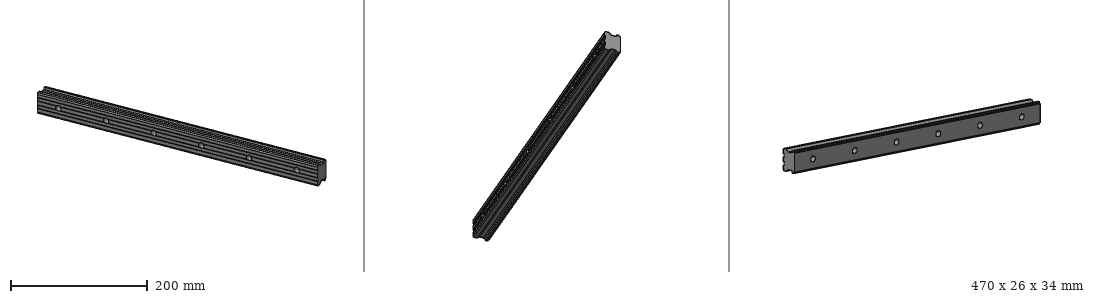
import cadquery as cq

length = 470.0
depth = 26.0
height = 34.0
half_height = height / 2
base_y = depth / 2
face_y = -depth / 2

lip_start = 2.5
lip_end = 5.5
shoulder_rise = 1.0
shoulder_drop = 3.0
lip_root = 6.5

trough_start = 9.0
trough_end = 15.0
head_start = 19.5

head_bevel_y = 1.5
head_bevel_z = 2.5

groove_inner_z = 3.5
groove_outer_z = 9.0
groove_depth = 1.5

hole_count = 6
hole_pitch = 80.0
hole_diameter = 9.0


def rail_profile():
    """Closed YZ outline, symmetric about Z = 0."""
    shoulder_z = half_height - shoulder_drop
    trough_z = shoulder_z - shoulder_rise
    upper_edge = [
        (base_y, shoulder_z),
        (base_y - lip_start, shoulder_z + shoulder_rise),
        (base_y - lip_start, half_height),
        (base_y - lip_end, half_height),
        (base_y - lip_root, shoulder_z),
        (base_y - trough_start, trough_z),
        (base_y - trough_end, trough_z),
        (base_y - head_start, half_height),
        (face_y + head_bevel_y, half_height),
        (face_y, half_height - head_bevel_z),
    ]
    lower_edge = [(y, -z) for y, z in reversed(upper_edge)]
    return upper_edge + lower_edge


def face_groove(side):
    """Rectangular groove along the mounting face, above (1) or below (-1) the holes."""
    middle_z = side * (groove_inner_z + groove_outer_z) / 2
    width = groove_outer_z - groove_inner_z
    return (
        cq.Workplane("XY")
        .box(length, 2 * groove_depth, width)
        .translate((0, face_y, middle_z))
    )


rail = cq.Workplane("YZ").polyline(rail_profile()).close().extrude(length / 2, both=True)

for side in (1, -1):
    rail = rail.cut(face_groove(side))

holes = (
    cq.Workplane("XZ")
    .rarray(hole_pitch, 4.5, hole_count, 1)
    .circle(hole_diameter / 2)
    .extrude(depth, both=True)
)

result = rail.cut(holes)